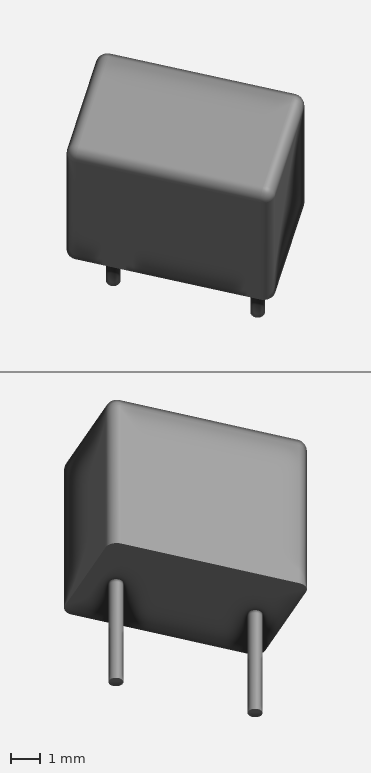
import cadquery as cq

body_length = 7.2
body_width = 4.51
body_height = 6.0
edge_radius = 0.4

lead_diameter = 0.5
lead_length = 4.0
lead_spacing = 5.0


def make_body():
    """Box with its underside on Z = 0; all edges rounded except those of the flat underside."""
    box = cq.Workplane("XY").box(body_length, body_width, body_height, centered=(True, True, False))
    return box.edges("|Z or >Z").fillet(edge_radius)


def make_leads():
    """Pair of straight leads hanging from the underside, spaced along X."""
    half_spacing = lead_spacing / 2
    return (
        cq.Workplane("XY")
        .pushPoints([(-half_spacing, 0), (half_spacing, 0)])
        .circle(lead_diameter / 2)
        .extrude(-lead_length)
    )


result = make_body().union(make_leads())